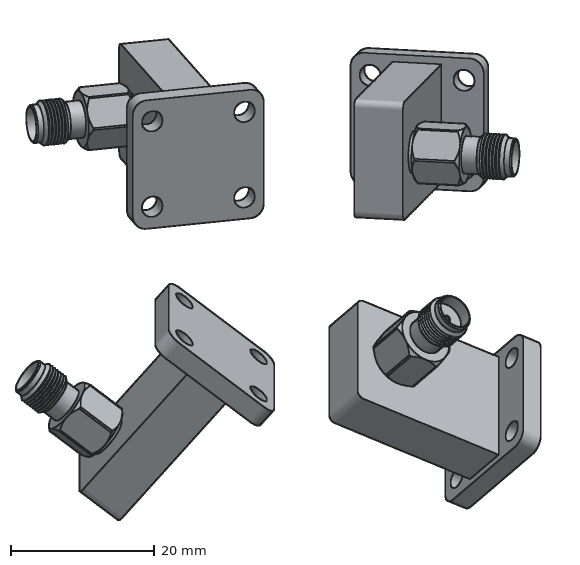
import cadquery as cq
import math


body_length = 24.0
body_depth = 7.0
body_height = 17.0
body_corner_radius = 1.0

flange_thickness = 3.0
flange_size = 19.11
flange_corner_radius = 2.0
flange_hole_diameter = 3.0
flange_hole_pitch_y = 13.46
flange_hole_pitch_z = 12.7

connector_x = 6.34
overall_depth = 27.75
connector_reach = overall_depth - flange_size / 2 - body_depth / 2
collar_diameter = 6.0
collar_length = 0.67
nut_across_flats = 7.94
nut_corner_diameter = 9.0
nut_length = 6.83
neck_diameter = 5.29
neck_length = 2.2
thread_crest_diameter = 6.35
thread_root_diameter = 5.85
thread_pitch = 0.475
thread_groove_count = 6
thread_end_taper_length = 0.55
pilot_diameter = 5.41
pilot_edge_chamfer = 0.2

socket_diameter = 4.84
socket_depth = 2.0
contact_mouth_diameter = 1.14
contact_bore_diameter = 0.95
contact_bore_depth = 1.0
contact_point_angle = 140.0

nut_start = collar_length
nut_end = nut_start + nut_length
neck_end = nut_end + neck_length
thread_start = neck_end + thread_end_taper_length
thread_end = thread_start + thread_groove_count * thread_pitch
pilot_start = thread_end + thread_end_taper_length


def block():
    return (
        cq.Workplane("XY")
        .box(body_length, body_depth, body_height, centered=(False, True, True))
        .edges("<X and |Y")
        .fillet(body_corner_radius)
    )


def flange():
    return (
        cq.Workplane("YZ")
        .workplane(offset=body_length)
        .rect(flange_size, flange_size)
        .extrude(flange_thickness)
        .edges("|X")
        .fillet(flange_corner_radius)
        .faces(">X")
        .workplane(origin=(0, 0, 0))
        .rect(flange_hole_pitch_y, flange_hole_pitch_z, forConstruction=True)
        .vertices()
        .hole(flange_hole_diameter)
    )


def revolved(profile):
    """Turn a closed (radius, distance along axis) profile about the Z axis."""
    return cq.Workplane("XZ").polyline(profile).close().revolve(360, (0, 0, 0), (0, 1, 0))


def hex_nut():
    """Hexagon with corners across X, its corners rounded off and both ends chamfered at 45 degrees."""
    corner_radius = nut_corner_diameter / 2
    end_radius = nut_across_flats / 2
    end_chamfer = corner_radius - end_radius
    hexagon = (
        cq.Workplane("XY")
        .workplane(offset=nut_start)
        .polygon(6, nut_across_flats / math.cos(math.pi / 6))
        .extrude(nut_length)
    )
    turned_limit = revolved(
        [
            (0, nut_start),
            (end_radius, nut_start),
            (corner_radius, nut_start + end_chamfer),
            (corner_radius, nut_end - end_chamfer),
            (end_radius, nut_end),
            (0, nut_end),
        ]
    )
    return hexagon.intersect(turned_limit)


def barrel():
    """Collar, neck, ring-grooved thread and pilot as one turned body."""
    collar_radius = collar_diameter / 2
    neck_radius = neck_diameter / 2
    crest_radius = thread_crest_diameter / 2
    root_radius = thread_root_diameter / 2
    pilot_radius = pilot_diameter / 2
    profile = [
        (0, 0),
        (collar_radius, 0),
        (collar_radius, nut_start),
        (neck_radius, nut_start),
        (neck_radius, neck_end),
        (pilot_radius, neck_end),
        (crest_radius, thread_start),
    ]
    for groove in range(thread_groove_count):
        groove_start = thread_start + groove * thread_pitch
        profile.append((root_radius, groove_start + thread_pitch / 2))
        profile.append((crest_radius, groove_start + thread_pitch))
    profile += [
        (pilot_radius, pilot_start),
        (pilot_radius, connector_reach - pilot_edge_chamfer),
        (pilot_radius - pilot_edge_chamfer, connector_reach),
        (0, connector_reach),
    ]
    return revolved(profile)


def socket():
    return (
        cq.Workplane("XY")
        .workplane(offset=connector_reach - socket_depth)
        .circle(socket_diameter / 2)
        .extrude(socket_depth)
    )


def contact_bore():
    """Blind bore in the socket floor, with a bevelled mouth and a conical bottom."""
    floor = connector_reach - socket_depth
    mouth_radius = contact_mouth_diameter / 2
    bore_radius = contact_bore_diameter / 2
    mouth_bevel = mouth_radius - bore_radius
    bore_end = floor - contact_bore_depth
    point_length = bore_radius / math.tan(math.radians(contact_point_angle / 2))
    return revolved(
        [
            (0, floor),
            (mouth_radius, floor),
            (bore_radius, floor - mouth_bevel),
            (bore_radius, bore_end),
            (0, bore_end - point_length),
        ]
    )


def connector():
    upright = barrel().union(hex_nut()).cut(socket()).cut(contact_bore())
    return upright.rotate((0, 0, 0), (1, 0, 0), 90).translate((connector_x, -body_depth / 2, 0))


result = block().union(flange()).union(connector())